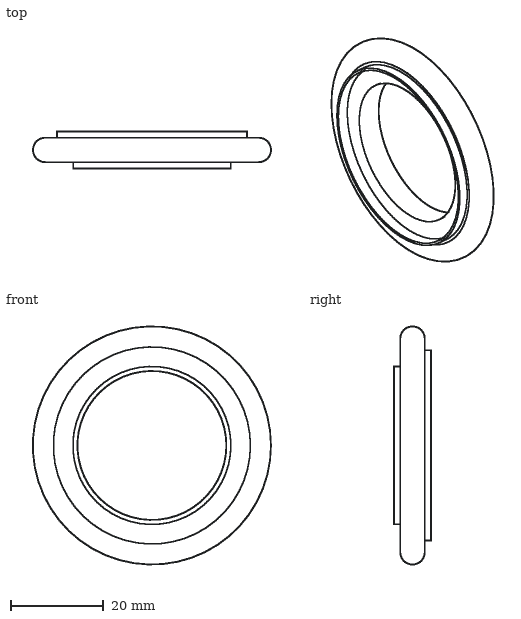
import cadquery as cq

total_width = 8.0
bore_diameter = 32.0
front_spigot_diameter = 34.0
rear_bore_diameter = 40.0
rear_bore_depth = 2.5
rear_spigot_diameter = 41.0
seal_outer_diameter = 51.3
seal_section_diameter = 5.3
web_thickness = 3.9

front_y = -total_width / 2
rear_y = total_width / 2
web_front_y = -web_thickness / 2
web_rear_y = web_thickness / 2
rear_bore_floor_y = rear_y - rear_bore_depth
seal_section_radius = seal_section_diameter / 2
seal_center_radius = (seal_outer_diameter - seal_section_diameter) / 2
web_outer_radius = seal_center_radius


def revolve_about_y(profile):
    return profile.revolve(360, (0, 0, 0), (0, 1, 0))


def make_seal():
    section = cq.Workplane("XY").moveTo(seal_center_radius, 0).circle(seal_section_radius)
    return revolve_about_y(section)


def make_centering_ring(seal):
    profile = (
        cq.Workplane("XY")
        .moveTo(bore_diameter / 2, front_y)
        .lineTo(front_spigot_diameter / 2, front_y)
        .lineTo(front_spigot_diameter / 2, web_front_y)
        .lineTo(web_outer_radius, web_front_y)
        .lineTo(web_outer_radius, web_rear_y)
        .lineTo(rear_spigot_diameter / 2, web_rear_y)
        .lineTo(rear_spigot_diameter / 2, rear_y)
        .lineTo(rear_bore_diameter / 2, rear_y)
        .lineTo(rear_bore_diameter / 2, rear_bore_floor_y)
        .lineTo(bore_diameter / 2, rear_bore_floor_y)
        .close()
    )
    return revolve_about_y(profile).cut(seal)


seal = make_seal()
centering_ring = make_centering_ring(seal)

result = cq.Compound.makeCompound([centering_ring.val(), seal.val()])